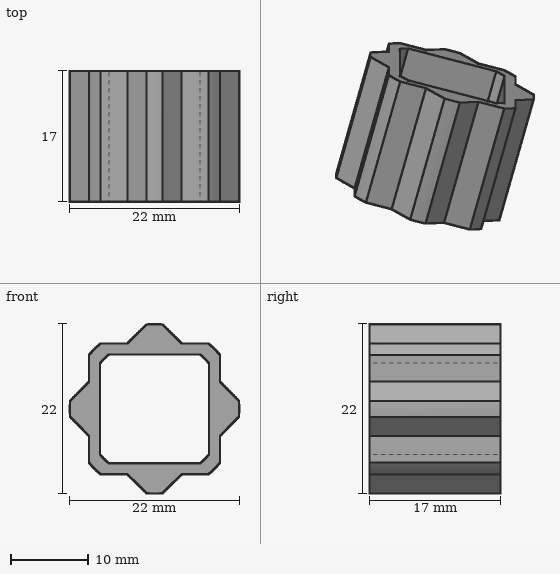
import cadquery as cq
import math

outer_radius = 11.0
length = 17.0
tube_width = 17.0
bore_width = 14.07
bore_corner_radius = 9.2
rib_base_width = 7.04

rib_half_base = rib_base_width / 2
tube_half = tube_width / 2
rib_angle = 44.5
rib_apex = tube_half + rib_half_base * math.tan(math.radians(rib_angle))


def prism(sketch):
    """Extrude an XZ outline over the length, centred on Y."""
    return sketch.extrude(length / 2, both=True)


def cylinder(radius):
    return prism(cq.Workplane("XZ").circle(radius))


def square_bar(width):
    return prism(cq.Workplane("XZ").rect(width, width))


def rib():
    """Triangular rib on the +Z flat, rooted at the tube axis."""
    outline = (
        cq.Workplane("XZ")
        .moveTo(0, 0)
        .lineTo(rib_half_base, tube_half)
        .lineTo(0, rib_apex)
        .lineTo(-rib_half_base, tube_half)
        .close()
    )
    return prism(outline)


body = square_bar(tube_width)
for quarter_turn in range(4):
    body = body.union(rib().rotate((0, 0, 0), (0, 1, 0), 90 * quarter_turn))

body = body.intersect(cylinder(outer_radius))

bore = square_bar(bore_width).intersect(cylinder(bore_corner_radius))
result = body.cut(bore)